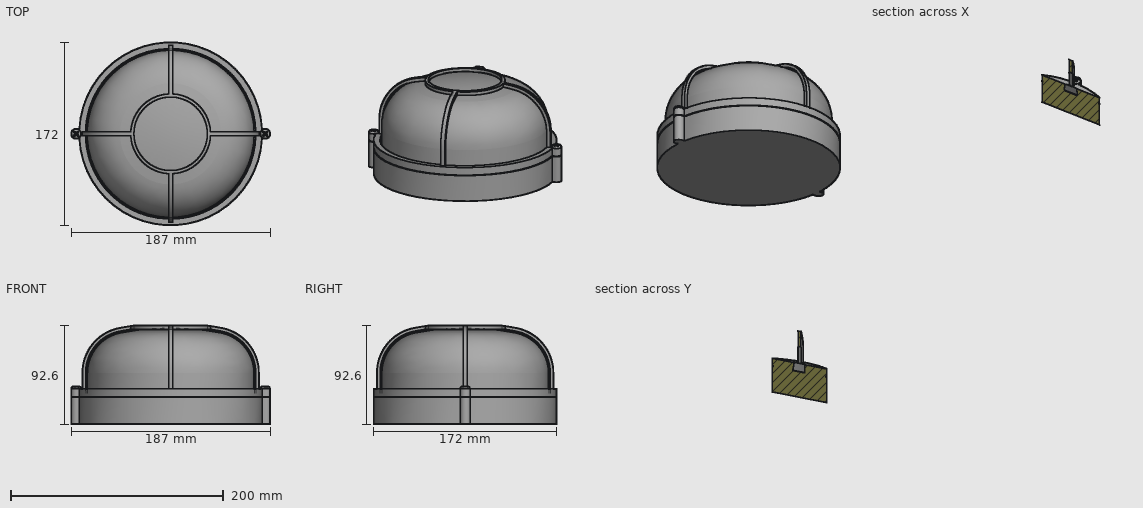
import cadquery as cq
import math

body_radius = 86.0
base_height = 25.2
flange_top = 33.2
opening_radius = 80.0
seam_height = 0.5
seam_depth = 0.25

dome_radius = 78.5
shoulder_radius = 38.5
crown_edge_radius = 47.5

total_height = 92.61
cage_clearance = 1.2
cage_thickness = 3.3
rib_width = 4.0
rib_angles = (0, 90)
ring_inner_radius = 34.5
ring_outer_radius = 37.5

overall_length = 187.0
boss_radius = 4.75
head_radius = 4.5
head_height = 2.2
head_fillet = 1.9
recess_length = 5.0
recess_width = 1.0
recess_depth = 1.0
recess_angles = (45, 135)

shoulder_center_r = dome_radius - shoulder_radius
crown_angle = math.asin((crown_edge_radius - shoulder_center_r) / shoulder_radius)
crown_radius = crown_edge_radius / math.sin(crown_angle)
center_spacing = (crown_radius - shoulder_radius) * math.cos(crown_angle)

cage_offset = cage_clearance + cage_thickness
crown_center_z = total_height - math.sqrt((crown_radius + cage_offset) ** 2 - ring_inner_radius**2)
shoulder_z = crown_center_z + center_spacing

boss_center_x = overall_length / 2 - boss_radius


def cylinder(radius, bottom, top):
    return cq.Workplane("XY").workplane(offset=bottom).circle(radius).extrude(top - bottom)


def strip(length, width, bottom, top, angle):
    """Straight bar centred on the Z axis, turned by angle from the X axis."""
    bar = cq.Workplane("XY").workplane(offset=bottom).rect(length, width).extrude(top - bottom)
    return bar.rotate((0, 0, 0), (0, 0, 1), angle)


def dome_profile(offset, bottom):
    """Half section of the dome grown outward by offset, in the XZ plane."""
    shoulder = shoulder_radius + offset
    crown = crown_radius + offset

    def on_shoulder(angle):
        return (
            shoulder_center_r + shoulder * math.sin(angle),
            shoulder_z + shoulder * math.cos(angle),
        )

    def on_crown(angle):
        return (crown * math.sin(angle), crown_center_z + crown * math.cos(angle))

    middle_angle = (crown_angle + math.pi / 2) / 2
    return (
        cq.Workplane("XZ")
        .moveTo(0, bottom)
        .lineTo(dome_radius + offset, bottom)
        .lineTo(dome_radius + offset, shoulder_z)
        .threePointArc(on_shoulder(middle_angle), on_shoulder(crown_angle))
        .threePointArc(on_crown(crown_angle / 2), on_crown(0))
        .close()
    )


def dome_solid(offset, bottom):
    """Solid dome grown outward by offset, standing on the bottom height."""
    return dome_profile(offset, bottom).revolve(360, (0, 0, 0), (0, 1, 0))


def body_outline(height, inset=0.0):
    """Round body with a boss on each side, its outline shrunk by inset."""
    boss_width = 2 * (boss_radius - inset)
    bosses = cq.Workplane("XY").slot2D(overall_length - 2 * inset, boss_width).extrude(height)
    return cylinder(body_radius - inset, 0, height).union(bosses)


def make_body():
    """Base and flange with a thin seam between them and an opening for the dome."""
    seam = body_outline(seam_height).cut(body_outline(seam_height, seam_depth))
    opening = cylinder(opening_radius, base_height, flange_top)
    body = body_outline(flange_top).cut(opening)
    return body.cut(seam.translate((0, 0, base_height)))


def make_cage():
    """Ring over the crown carried by ribs that stand on the flange."""
    clear_top = total_height + cage_offset
    bore = cylinder(ring_inner_radius, 0, clear_top)
    shell = dome_solid(cage_offset, flange_top).cut(dome_solid(cage_clearance, flange_top)).cut(bore)
    keep = cylinder(ring_outer_radius, 0, clear_top)
    for angle in rib_angles:
        keep = keep.union(strip(2 * body_radius, rib_width, 0, clear_top, angle))
    return shell.intersect(keep)


def make_screw_head():
    """Rounded screw head with a diagonal cross recess."""
    top = flange_top + head_height
    head = cylinder(head_radius, flange_top, top).faces(">Z").edges().fillet(head_fillet)
    for angle in recess_angles:
        slot = strip(recess_length, recess_width, top - recess_depth, top, angle)
        head = head.cut(slot)
    return head


result = make_body().union(dome_solid(0, base_height))
result = result.union(make_cage())
for side in (-1, 1):
    result = result.union(make_screw_head().translate((side * boss_center_x, 0, 0)))